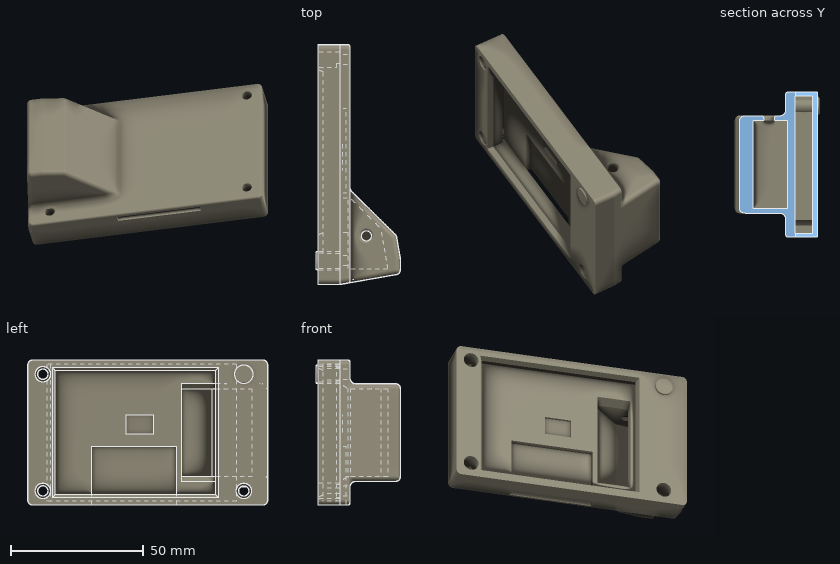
import cadquery as cq
import math


LENGTH = 90.9
WIDTH = 55.0
BEZEL_THICKNESS = 8.4
PLATE_THICKNESS = 12.2
CORNER_RADIUS = 1.9
BACK_EDGE_RADIUS = 0.9

POD_BACK = 31.3
POD_WIDTH = 37.1
POD_EDGE_RADIUS = 1.9
POD_ROOT_RADIUS = 2.1
SLANT = math.tan(math.radians(10))
POD_FLAT_TOP = 9.9
POD_SHOULDER = 18.5
POD_FOOT = 35.9

OPENING_LOW = 18.7
OPENING_HIGH = 81.5
OPENING_WIDTH = 49.1
OPENING_TAPER = 1.0
LIP_THICKNESS = 2.0
POCKET_LOW = 11.8
POCKET_HIGH = 82.3
POCKET_WIDTH = 51.9
GROOVE_DEPTH = 7.1
GROOVE_HIGH = 83.6

SIDE_RECESS_DEPTH = 2.3
SIDE_RECESS_LOW = 34.6
SIDE_RECESS_HIGH = 66.7
SIDE_RECESS_TOP = -5.4
SMALL_RECESS_LOW = 43.4
SMALL_RECESS_HIGH = 53.6
SMALL_RECESS_BOTTOM = -0.45
SMALL_RECESS_TOP = 6.7
SMALL_RECESS_DEPTH = 1.0

WINDOW_LOW = 19.8
WINDOW_HIGH = 32.7
WINDOW_WIDTH = 37.2
WINDOW_DEPTH = 11.45
CAVITY_WIDTH = 33.1
CAVITY_SLOPE_START = 12.3
CAVITY_LOW = 6.0
CAVITY_SHOULDER = 21.2

HOLE_LOW = 9.1
HOLE_HIGH = 85.2
HOLE_Z = 22.1
COUNTERBORE_DIAMETER = 5.8
HOLE_DIAMETER = 3.8
SCREW_CENTERS = [(HOLE_LOW, -HOLE_Z), (HOLE_HIGH, -HOLE_Z), (HOLE_HIGH, HOLE_Z)]
PIN_CENTER = (HOLE_LOW, HOLE_Z)
PIN_DIAMETER = 7.0
PIN_PROTRUSION = 0.7
PIN_EDGE_RADIUS = 0.45

SIDE_HOLE_X = 18.4
SIDE_HOLE_Y = 18.45
SIDE_HOLE_RADIUS = HOLE_DIAMETER / 2
SIDE_HOLE_ROUNDING = (COUNTERBORE_DIAMETER - HOLE_DIAMETER) / 2

SMALL_GAP = 0.1


def block(x0, x1, y0, y1, z0, z1):
    """Box between the given limits."""
    return cq.Workplane("XY").box(x1 - x0, y1 - y0, z1 - z0, centered=False).translate((x0, y0, z0))


def prism(points, width):
    """XY outline extruded symmetrically about the middle of the width."""
    return cq.Workplane("XY").polyline(points).close().extrude(width / 2, both=True)


def cylinder(center, diameter, x0, x1):
    """Cylinder along X at a (Y, Z) center."""
    y, z = center
    return cq.Workplane("YZ", origin=(x0, y, z)).circle(diameter / 2).extrude(x1 - x0)


def opening():
    """Mouth of the bezel, narrowing through its front lip."""
    length = OPENING_HIGH - OPENING_LOW
    middle = (OPENING_HIGH + OPENING_LOW) / 2
    return (
        cq.Workplane("YZ", origin=(0, middle, 0))
        .rect(length, OPENING_WIDTH)
        .workplane(offset=LIP_THICKNESS)
        .rect(length - 2 * OPENING_TAPER, OPENING_WIDTH - 2 * OPENING_TAPER)
        .loft(combine=True)
    )


def display_pocket():
    """Pocket in the back of the bezel, wider than the mouth."""
    half = POCKET_WIDTH / 2
    pocket = block(LIP_THICKNESS, BEZEL_THICKNESS, POCKET_LOW, POCKET_HIGH, -half, half)
    groove = block(GROOVE_DEPTH, BEZEL_THICKNESS, POCKET_HIGH, GROOVE_HIGH, -half, half)
    return pocket.union(groove)


def window():
    """Window with sloped Z walls, from the front face of the housing to the cavity."""
    profile = [
        (BEZEL_THICKNESS, -WINDOW_WIDTH / 2),
        (WINDOW_DEPTH, -CAVITY_WIDTH / 2),
        (WINDOW_DEPTH, CAVITY_WIDTH / 2),
        (BEZEL_THICKNESS, WINDOW_WIDTH / 2),
    ]
    outline = cq.Workplane("XZ", origin=(0, WINDOW_HIGH, 0)).polyline(profile).close()
    return outline.extrude(WINDOW_HIGH - WINDOW_LOW)


def make_bezel():
    """Front frame around the display opening."""
    body = block(0, BEZEL_THICKNESS, 0, LENGTH, -WIDTH / 2, WIDTH / 2).edges("|X").fillet(CORNER_RADIUS)
    body = body.cut(opening()).cut(display_pocket())
    for center in SCREW_CENTERS:
        body = body.cut(cylinder(center, COUNTERBORE_DIAMETER, 0, BEZEL_THICKNESS))
    return body.cut(cylinder(PIN_CENTER, PIN_DIAMETER, 0, BEZEL_THICKNESS))


def slanted_end(x):
    """Y of the slanted lower end of the housing at a given X."""
    return (x - BEZEL_THICKNESS) * SLANT


def edges_between(body, x0, x1):
    """Edges of a body whose middles lie between two X limits."""
    return body.edges(cq.selectors.BoxSelector((x0, -LENGTH, -WIDTH), (x1, 2 * LENGTH, WIDTH)))


def make_flange():
    """Part of the plate behind the bezel, with its lower end slanted."""
    flange = prism(
        [
            (BEZEL_THICKNESS, 0),
            (PLATE_THICKNESS, slanted_end(PLATE_THICKNESS)),
            (PLATE_THICKNESS, LENGTH),
            (BEZEL_THICKNESS, LENGTH),
        ],
        WIDTH,
    )
    flange = edges_between(flange, BEZEL_THICKNESS + SMALL_GAP, PLATE_THICKNESS - SMALL_GAP)
    flange = flange.fillet(CORNER_RADIUS)
    return flange.faces(">X").edges().fillet(BACK_EDGE_RADIUS)


def make_pod():
    """Wedge-shaped pod, reaching through the flange to the bezel."""
    shoulder_x = POD_BACK - (POD_SHOULDER - POD_FLAT_TOP) * SLANT
    pod = prism(
        [
            (BEZEL_THICKNESS, 0),
            (POD_BACK, slanted_end(POD_BACK)),
            (POD_BACK, POD_FLAT_TOP),
            (shoulder_x, POD_SHOULDER),
            (PLATE_THICKNESS, POD_FOOT),
            (BEZEL_THICKNESS, POD_FOOT),
        ],
        POD_WIDTH,
    )
    outer_edges = edges_between(pod, PLATE_THICKNESS + SMALL_GAP, POD_BACK + SMALL_GAP)
    return outer_edges.fillet(POD_EDGE_RADIUS)


def round_pod_root(body):
    """Concave fillet where the pod rises from the flange."""
    root = body.edges(
        cq.selectors.BoxSelector(
            (PLATE_THICKNESS - SMALL_GAP, 0, -POD_WIDTH / 2 - SMALL_GAP),
            (PLATE_THICKNESS + SMALL_GAP, LENGTH / 2, POD_WIDTH / 2 + SMALL_GAP),
        )
    )
    return root.fillet(POD_ROOT_RADIUS)


def cavity():
    """Hollow of the pod behind the window."""
    back_low = CAVITY_SLOPE_START + WINDOW_HIGH - CAVITY_SHOULDER
    return prism(
        [
            (WINDOW_DEPTH, CAVITY_LOW),
            (back_low + (CAVITY_SHOULDER - CAVITY_LOW) * SLANT, CAVITY_LOW),
            (back_low, CAVITY_SHOULDER),
            (CAVITY_SLOPE_START, WINDOW_HIGH),
            (WINDOW_DEPTH, WINDOW_HIGH),
        ],
        CAVITY_WIDTH,
    )


def side_hole():
    """Hole from the cavity through the +Z wall, flaring in a quarter round at its mouth."""
    mouth = POD_WIDTH / 2
    rim = SIDE_HOLE_RADIUS + SIDE_HOLE_ROUNDING
    diagonal = SIDE_HOLE_ROUNDING * math.sqrt(0.5)
    return (
        cq.Workplane("XZ", origin=(SIDE_HOLE_X, SIDE_HOLE_Y, 0))
        .lineTo(SIDE_HOLE_RADIUS, 0)
        .lineTo(SIDE_HOLE_RADIUS, mouth - SIDE_HOLE_ROUNDING)
        .threePointArc((rim - diagonal, mouth - SIDE_HOLE_ROUNDING + diagonal), (rim, mouth))
        .lineTo(0, mouth)
        .close()
        .revolve(360, (0, 0, 0), (0, 1, 0))
    )


def side_recess():
    """Recess running out through the -Z side of the housing."""
    back = BEZEL_THICKNESS + SIDE_RECESS_DEPTH
    return block(BEZEL_THICKNESS, back, SIDE_RECESS_LOW, SIDE_RECESS_HIGH, -WIDTH / 2, SIDE_RECESS_TOP)


def small_recess():
    """Shallow closed recess near the middle of the housing."""
    back = BEZEL_THICKNESS + SMALL_RECESS_DEPTH
    return block(
        BEZEL_THICKNESS,
        back,
        SMALL_RECESS_LOW,
        SMALL_RECESS_HIGH,
        SMALL_RECESS_BOTTOM,
        SMALL_RECESS_TOP,
    )


def make_housing():
    """Flange and pod in one piece, hollowed from the front."""
    body = round_pod_root(make_flange().union(make_pod()))
    body = body.cut(window()).cut(cavity()).cut(side_hole())
    body = body.cut(side_recess()).cut(small_recess())
    for center in SCREW_CENTERS:
        body = body.cut(cylinder(center, HOLE_DIAMETER, BEZEL_THICKNESS, PLATE_THICKNESS))
    return body


def make_pin():
    """Round pin through the bezel, standing proud of its front face."""
    pin = cylinder(PIN_CENTER, PIN_DIAMETER, -PIN_PROTRUSION, BEZEL_THICKNESS)
    return pin.faces("<X").edges().fillet(PIN_EDGE_RADIUS)


bezel = make_bezel()
housing = make_housing()
pin = make_pin()

result = cq.Compound.makeCompound([bezel.solids().val(), housing.solids().val(), pin.val()])